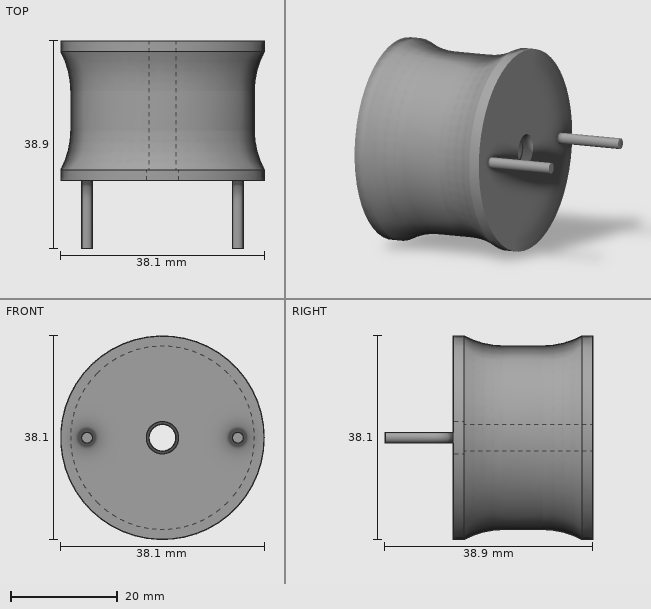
import cadquery as cq
import math

total_length = 38.85
spool_length = 26.15
flange_diameter = 38.1
flange_thickness = 2.02
core_diameter = 34.35
core_straight_length = 7.4
pin_diameter = 2.02
pin_spacing = 28.2
bore_diameter = 4.97
counterbore_diameter = 6.05
counterbore_depth = 2.02

pin_length = total_length - spool_length
flange_radius = flange_diameter / 2
core_radius = core_diameter / 2
core_start = (spool_length - core_straight_length) / 2
core_end = spool_length - core_start
back_flange_start = spool_length - flange_thickness

flare_length = core_start - flange_thickness
flare_rise = flange_radius - core_radius
flare_radius = (flare_length**2 + flare_rise**2) / (2 * flare_rise)
half_sweep = math.asin(flare_length / flare_radius) / 2
flare_mid_radius = core_radius + flare_radius * (1 - math.cos(half_sweep))
flare_mid_offset = flare_radius * math.sin(half_sweep)


def make_spool():
    """Revolve the flanged outline around the Y axis."""
    return (
        cq.Workplane("XY")
        .lineTo(flange_radius, 0)
        .lineTo(flange_radius, flange_thickness)
        .threePointArc(
            (flare_mid_radius, core_start - flare_mid_offset),
            (core_radius, core_start),
        )
        .lineTo(core_radius, core_end)
        .threePointArc(
            (flare_mid_radius, core_end + flare_mid_offset),
            (flange_radius, back_flange_start),
        )
        .lineTo(flange_radius, spool_length)
        .lineTo(0, spool_length)
        .close()
        .revolve(360, (0, 0, 0), (0, 1, 0))
    )


def make_pins():
    """Two round pins standing on the front face, extending towards -Y."""
    return (
        cq.Workplane("XZ")
        .pushPoints([(-pin_spacing / 2, 0), (pin_spacing / 2, 0)])
        .circle(pin_diameter / 2)
        .extrude(pin_length)
    )


def cut_bore(body):
    """Through hole along the axis, counterbored from the front face."""
    bore = cq.Workplane("XZ").circle(bore_diameter / 2).extrude(-spool_length)
    counterbore = cq.Workplane("XZ").circle(counterbore_diameter / 2).extrude(-counterbore_depth)
    return body.cut(bore).cut(counterbore)


result = cut_bore(make_spool().union(make_pins()))